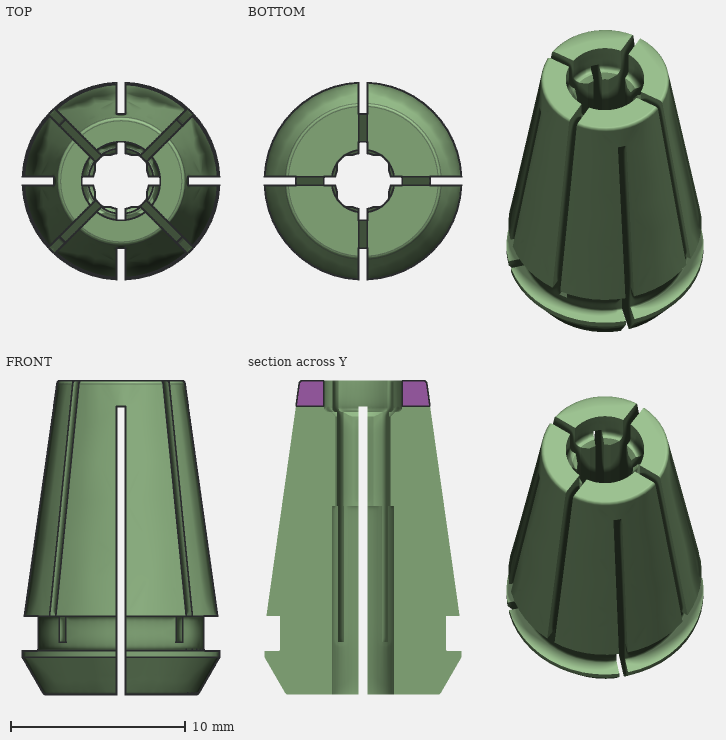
import cadquery as cq
import math


total_height = 18.0
taper_half_angle = 8.0
taper_base_radius = 5.55
taper_base_z = 4.5
neck_radius = 4.75
neck_fillet = 0.1
lip_radius = 5.65
lip_top_z = 2.5
lip_bottom_z = 2.15
nose_half_angle = 30.0
end_fillet = 0.2

entry_radius = 2.25
entry_floor_z = 16.2
entry_fillet = 0.25
countersink_radius = 1.87
pilot_radius = 1.6
square_side = 2.97
square_length = 5.4
shank_radius = 1.8

slot_width = 0.5
slot_count = 4
nose_slot_top_z = 16.5
top_slot_floor_z = 3.0

countersink_depth = countersink_radius - pilot_radius
taper_height = total_height - taper_base_z
taper_top_radius = taper_base_radius - taper_height * math.tan(math.radians(taper_half_angle))
nose_radius = lip_radius - lip_bottom_z * math.tan(math.radians(nose_half_angle))
square_bottom_z = entry_floor_z - square_length


def outer_body():
    body = (
        cq.Workplane("XZ")
        .moveTo(0, 0)
        .lineTo(nose_radius, 0)
        .lineTo(lip_radius, lip_bottom_z)
        .lineTo(lip_radius, lip_top_z)
        .lineTo(neck_radius + neck_fillet, lip_top_z)
        .radiusArc((neck_radius, lip_top_z + neck_fillet), neck_fillet)
        .lineTo(neck_radius, taper_base_z)
        .lineTo(taper_base_radius, taper_base_z)
        .lineTo(taper_top_radius, total_height)
        .lineTo(0, total_height)
        .close()
        .revolve(360, (0, 0, 0), (0, 1, 0))
    )
    return body.faces("<Z or >Z").edges().fillet(end_fillet)


def round_bore():
    return (
        cq.Workplane("XZ")
        .moveTo(0, 0)
        .lineTo(shank_radius, 0)
        .lineTo(shank_radius, square_bottom_z)
        .lineTo(pilot_radius, square_bottom_z)
        .lineTo(pilot_radius, entry_floor_z - countersink_depth)
        .lineTo(countersink_radius, entry_floor_z)
        .lineTo(entry_radius - entry_fillet, entry_floor_z)
        .radiusArc((entry_radius, entry_floor_z + entry_fillet), -entry_fillet)
        .lineTo(entry_radius, total_height)
        .lineTo(0, total_height)
        .close()
        .revolve(360, (0, 0, 0), (0, 1, 0))
    )


def square_drive():
    return (
        cq.Workplane("XY")
        .workplane(offset=square_bottom_z)
        .rect(square_side, square_side)
        .extrude(square_length)
    )


def radial_slots(bottom_z, top_z, first_angle):
    """Evenly spaced slots from the axis outwards, as a solid to cut away."""
    slots = cq.Workplane("XY")
    for index in range(slot_count):
        angle = first_angle + index * 360 / slot_count
        slot = (
            cq.Workplane("XY")
            .box(lip_radius + slot_width, slot_width, top_z - bottom_z, centered=(False, True, False))
            .translate((0, 0, bottom_z))
            .rotate((0, 0, 0), (0, 0, 1), angle)
        )
        slots = slots.add(slot)
    return slots.combine()


result = (
    outer_body()
    .cut(round_bore())
    .cut(square_drive())
    .cut(radial_slots(0, nose_slot_top_z, 0))
    .cut(radial_slots(top_slot_floor_z, total_height, 180 / slot_count))
)